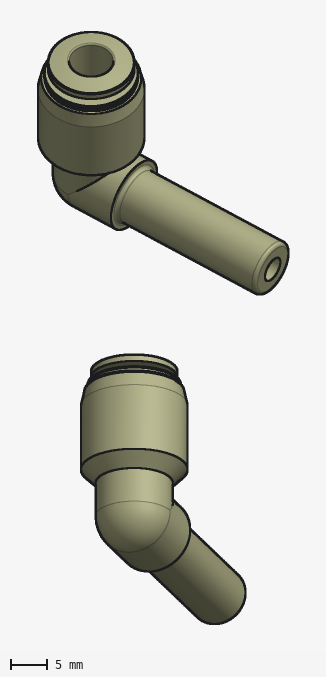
import cadquery as cq


elbow_radius = 10.5 / 2
flow_radius = 3.5 / 2

collar_radius = 14.5 / 2
collar_top_radius = 6.8
collar_taper_base = 16.3
collar_top = 18.4
collar_bottom = 6.85
collar_cone_bottom = collar_bottom - (collar_radius - elbow_radius)

ring_radius = 12.8 / 2
ring_groove_radius = 6.3
ring_bottom = 18.8
ring_top = 19.43
ring_edge_width = 0.08
ring_edge_height = 0.23

button_top = 27.15 - elbow_radius
button_radius = 11.8 / 2
button_rim_top = 21.4
button_rim_bottom = 20.38
button_rim_edge = 0.1
button_crown_rise = 0.08
neck_radius = 7.4 / 2
neck_fillet = 0.3

socket_radius = 6.0 / 2
socket_floor = collar_bottom
socket_lip = 0.23

stem_radius = 8.0 / 2
stem_end = 37.95 - collar_radius
shoulder_end = collar_radius
root_fillet = 0.57
stem_end_round = 0.57


def make_elbow():
    """Two equal legs joined by a ball at the corner."""
    ball = cq.Workplane("XY").sphere(elbow_radius)
    upright_leg = cq.Workplane("XY").circle(elbow_radius).extrude(collar_bottom)
    side_leg = cq.Workplane("YZ").circle(elbow_radius).extrude(shoulder_end)
    return ball.union(upright_leg).union(side_leg)


def make_collar_and_button():
    """Turned profile of the collar, retaining ring and release button."""
    profile = (
        cq.Workplane("XZ")
        .moveTo(0, collar_cone_bottom)
        .lineTo(elbow_radius, collar_cone_bottom)
        .lineTo(collar_radius, collar_bottom)
        .lineTo(collar_radius, collar_taper_base)
        .lineTo(collar_top_radius, collar_top)
        .lineTo(ring_groove_radius, collar_top)
        .lineTo(ring_groove_radius, ring_bottom)
        .lineTo(ring_radius, ring_bottom)
        .lineTo(ring_radius, ring_top - ring_edge_height)
        .lineTo(ring_radius - ring_edge_width, ring_top)
        .lineTo(neck_radius, ring_top)
        .lineTo(neck_radius, button_rim_bottom - neck_fillet)
        .radiusArc((neck_radius + neck_fillet, button_rim_bottom), neck_fillet)
        .lineTo(button_radius, button_rim_bottom)
        .lineTo(button_radius, button_rim_top - button_rim_edge)
        .lineTo(button_radius - button_rim_edge, button_rim_top)
        .sagittaArc((socket_radius + socket_lip, button_top), -button_crown_rise)
        .lineTo(0, button_top)
        .close()
    )
    return profile.revolve(360, (0, 0, 0), (0, 1, 0))


def make_stem():
    """Turned stem with a hollow root fillet and a rounded end."""
    profile = (
        cq.Workplane("XZ")
        .lineTo(0, stem_radius + root_fillet)
        .lineTo(shoulder_end, stem_radius + root_fillet)
        .radiusArc((shoulder_end + root_fillet, stem_radius), -root_fillet)
        .lineTo(stem_end - stem_end_round, stem_radius)
        .radiusArc((stem_end, stem_radius - stem_end_round), stem_end_round)
        .lineTo(stem_end, 0)
        .close()
    )
    return profile.revolve(360, (0, 0, 0), (1, 0, 0))


def make_passage():
    """Tube socket with a rounded lip, leading into the bent flow bore."""
    socket = (
        cq.Workplane("XZ")
        .moveTo(0, socket_floor)
        .lineTo(socket_radius, socket_floor)
        .lineTo(socket_radius, button_top - socket_lip)
        .radiusArc((socket_radius + socket_lip, button_top), socket_lip)
        .lineTo(0, button_top)
        .close()
        .revolve(360, (0, 0, 0), (0, 1, 0))
    )
    corner = cq.Workplane("XY").sphere(flow_radius)
    upright_bore = cq.Workplane("XY").circle(flow_radius).extrude(socket_floor)
    stem_bore = cq.Workplane("YZ").circle(flow_radius).extrude(stem_end)
    return socket.union(corner).union(upright_bore).union(stem_bore)


body = make_elbow().union(make_collar_and_button()).union(make_stem())
result = body.cut(make_passage())